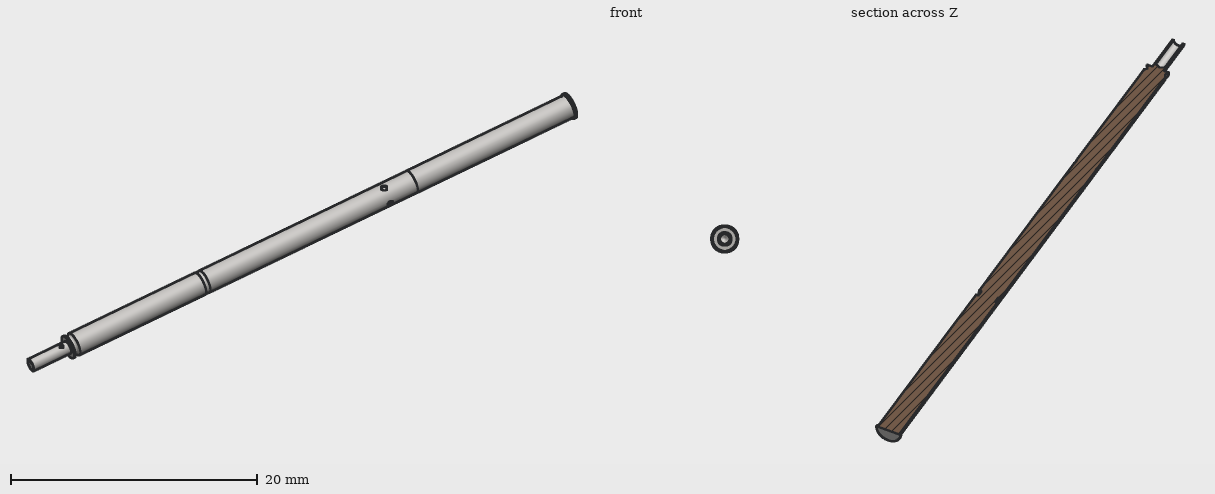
import cadquery as cq

HEAD_LENGTH = 0.2
PLAIN_END = 15.0
DIMPLE_STATION = 17.6
RING_START = 34.6
RING_END = 35.0
GROOVE_START = 46.9
GROOVE_END = 47.35
BODY_END = 47.5
VENT_STATION = 48.1
TOTAL_LENGTH = 51.0
HEAD_FACE_Y = TOTAL_LENGTH / 2

HEAD_DIAMETER = 2.2
PLAIN_DIAMETER = 2.0
SLEEVE_DIAMETER = 1.98
RING_DIAMETER = 1.94
TAIL_DIAMETER = 1.1

GROOVE_DEPTH = 0.15

DIMPLE_DIAMETER = 0.5
DIMPLE_DEPTH = 0.2
DIMPLE_COUNT = 4

CUP_DIAMETER = 0.8
CUP_BOTTOM = 47.9
CUP_POINT_LENGTH = 0.24
VENT_DIAMETER = 0.3


def segment(diameter, start, end):
    """Round length of the pin between two stations; stations run towards -Y."""
    plane = cq.Workplane("XZ", origin=(0, HEAD_FACE_Y - start, 0))
    return plane.circle(diameter / 2).extrude(end - start)


def hole_cutter(diameter, station, floor_height):
    """Upright cylinder that cuts a hole from above down to the given Z."""
    centre = (0, HEAD_FACE_Y - station, floor_height)
    return cq.Workplane("XY", origin=centre).circle(diameter / 2).extrude(HEAD_DIAMETER)


def make_body():
    """Stepped round body from the head to the tail tip."""
    steps = [
        (HEAD_DIAMETER, HEAD_LENGTH),
        (PLAIN_DIAMETER, PLAIN_END),
        (SLEEVE_DIAMETER, RING_START),
        (RING_DIAMETER, RING_END),
        (SLEEVE_DIAMETER, BODY_END),
        (TAIL_DIAMETER, TOTAL_LENGTH),
    ]
    head_diameter, start = steps[0]
    body = segment(head_diameter, 0, start)
    for diameter, end in steps[1:]:
        body = body.union(segment(diameter, start, end))
        start = end
    return body


def make_groove():
    """Cutter for the rounded groove rolled into the sleeve near the tail."""
    radius = SLEEVE_DIAMETER / 2
    start_y = HEAD_FACE_Y - GROOVE_START
    end_y = HEAD_FACE_Y - GROOVE_END
    middle_y = (start_y + end_y) / 2
    profile = (
        cq.Workplane("XY")
        .moveTo(radius, start_y)
        .threePointArc((radius - GROOVE_DEPTH, middle_y), (radius, end_y))
        .lineTo(HEAD_DIAMETER / 2, end_y)
        .lineTo(HEAD_DIAMETER / 2, start_y)
        .close()
    )
    return profile.revolve(360, (0, 0, 0), (0, 1, 0))


def cut_dimples(body):
    """Cut the blind round dimples evenly around the sleeve."""
    cutter = hole_cutter(DIMPLE_DIAMETER, DIMPLE_STATION, SLEEVE_DIAMETER / 2 - DIMPLE_DEPTH)
    for index in range(DIMPLE_COUNT):
        angle = index * 360 / DIMPLE_COUNT
        body = body.cut(cutter.rotate((0, 0, 0), (0, 1, 0), angle))
    return body


def cut_cup(body):
    """Hollow the tail from its tip and open the vent on its +Z side."""
    cup = segment(CUP_DIAMETER, CUP_BOTTOM, TOTAL_LENGTH)
    bottom_centre = cq.Vector(0, HEAD_FACE_Y - CUP_BOTTOM, 0)
    point = cq.Solid.makeCone(CUP_DIAMETER / 2, 0, CUP_POINT_LENGTH, bottom_centre, cq.Vector(0, 1, 0))
    vent = hole_cutter(VENT_DIAMETER, VENT_STATION, 0)
    return body.cut(cup).cut(cq.Workplane(point)).cut(vent)


result = cut_cup(cut_dimples(make_body().cut(make_groove())))